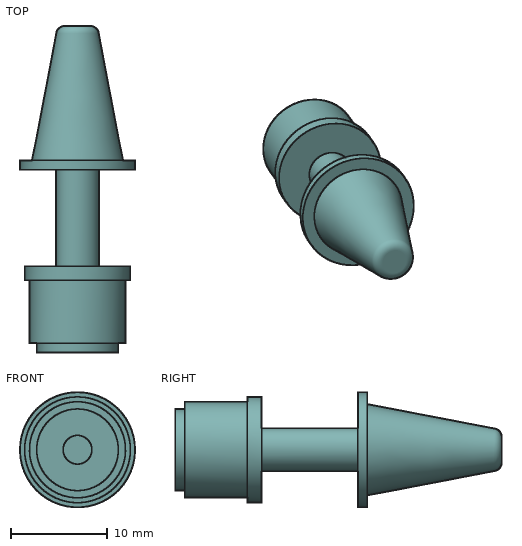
import cadquery as cq

total_length = 34.0
spigot_diameter = 8.5
spigot_length = 1.0
body_diameter = 10.0
body_length = 6.53
collar_diameter = 11.0
collar_length = 1.5
shaft_diameter = 4.5
shaft_length = 10.0
flange_diameter = 12.0
flange_length = 1.0
cone_base_diameter = 9.52
cone_tip_diameter = 4.15
tip_fillet = 0.92
hole_diameter = 3.0
hole_depth = 7.5


def frustum(start, length, base_diameter, tip_diameter):
    """Solid cone stub around the Y axis, narrowing toward +Y."""
    return cq.Workplane(cq.Solid.makeCone(
        base_diameter / 2, tip_diameter / 2, length,
        cq.Vector(0, start, 0), cq.Vector(0, 1, 0),
    ))


def cylinder(start, length, diameter):
    """Solid cylinder around the Y axis, running from start toward +Y."""
    return cq.Workplane(cq.Solid.makeCylinder(
        diameter / 2, length, cq.Vector(0, start, 0), cq.Vector(0, 1, 0),
    ))


stepped_sections = [
    (spigot_length, spigot_diameter),
    (body_length, body_diameter),
    (collar_length, collar_diameter),
    (shaft_length, shaft_diameter),
    (flange_length, flange_diameter),
]
cone_start = sum(length for length, diameter in stepped_sections)
cone = frustum(cone_start, total_length - cone_start, cone_base_diameter, cone_tip_diameter)
result = cone.faces(">Y").edges().fillet(tip_fillet)

section_start = 0.0
for length, diameter in stepped_sections:
    result = result.union(cylinder(section_start, length, diameter))
    section_start += length

result = result.cut(cylinder(0, hole_depth, hole_diameter))